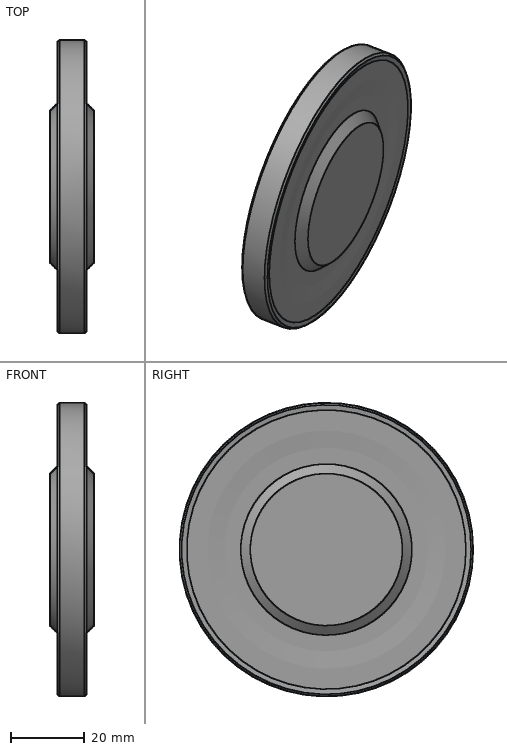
import cadquery as cq


RIM_RADIUS = 40.0
RIM_WIDTH = 8.0
RIM_CHAMFER = 0.6
RIM_BORE_RADIUS = 38.0
RIM_LIP_DROP = 0.22

HUB_WIDTH = 12.0
HUB_FACE_RADIUS = 20.7
HUB_CONE_DEPTH = 2.6
RECESS_FLOOR_RADIUS = 27.7
RECESS_TOP_RADIUS = 32.4

CREST_RADIUS = RIM_RADIUS - RIM_CHAMFER
WEB_HALF_WIDTH = RIM_WIDTH / 2 - RIM_LIP_DROP
RECESS_HALF_WIDTH = HUB_WIDTH / 2 - HUB_CONE_DEPTH
HUB_BASE_RADIUS = HUB_FACE_RADIUS + HUB_CONE_DEPTH


def revolve_symmetric(left_half):
    """Mirror a list of (x, radius) points to +X and revolve the outline about X."""
    right_half = [(-x, radius) for x, radius in reversed(left_half)]
    outline = cq.Workplane("XY").polyline(left_half + right_half).close()
    return outline.revolve(360, (0, 0, 0), (1, 0, 0))


def make_disc():
    """Solid disc with a raised conical hub standing in a shallow recess on each side."""
    return revolve_symmetric([
        (-HUB_WIDTH / 2, 0),
        (-HUB_WIDTH / 2, HUB_FACE_RADIUS),
        (-RECESS_HALF_WIDTH, HUB_BASE_RADIUS),
        (-RECESS_HALF_WIDTH, RECESS_FLOOR_RADIUS),
        (-WEB_HALF_WIDTH, RECESS_TOP_RADIUS),
        (-WEB_HALF_WIDTH, RIM_BORE_RADIUS),
    ])


def make_rim():
    """Ring around the disc, chamfered outside, with side faces sloping in to the disc."""
    return revolve_symmetric([
        (-WEB_HALF_WIDTH, RIM_BORE_RADIUS),
        (-RIM_WIDTH / 2, CREST_RADIUS),
        (-RIM_WIDTH / 2 + RIM_CHAMFER, RIM_RADIUS),
    ])


disc = make_disc()
rim = make_rim()

result = cq.Compound.makeCompound([disc.val(), rim.val()])